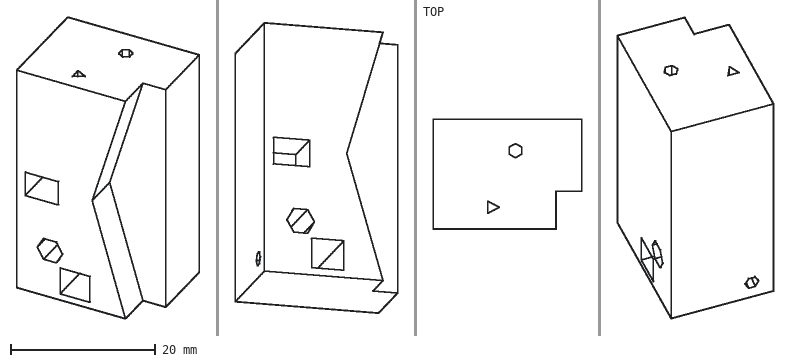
import cadquery as cq
import math

WIDTH, DEPTH, HEIGHT = 20.65, 15.27, 36.02

RELIEF_DEPTH = 5.22
RELIEF_END_X = 17.07
RELIEF_APEX_X = 11.85

POCKET_X, POCKET_Z = 1.35, 15.67
POCKET_WIDTH, POCKET_HEIGHT = 5.2, 3.85
POCKET_DEPTH = 7.2
WINDOW_X, WINDOW_Z = 6.8, 1.05
WINDOW_WIDTH, WINDOW_HEIGHT = 4.65, 4.3
FRONT_HEX_X, FRONT_HEX_Z = 5.22, 7.7
FRONT_HEX_DIAMETER = 3.95

TOP_HEX_X, TOP_HEX_Y = 11.42, 10.88
TOP_HEX_DIAMETER = 1.98
TOP_HEX_DEPTH = 7.2
TRIANGLE_X, TRIANGLE_Y = 7.6, 3.03
TRIANGLE_LENGTH, TRIANGLE_BASE = 1.6, 1.65
TRIANGLE_DEPTH = 7.2

SIDE_HEX_Y, SIDE_HEX_Z = 3.25, 2.75
SIDE_HEX_DIAMETER = 1.98
SIDE_HEX_DEPTH = 7.2
SIDE_HEX_TILT = 16.0


def front_plane():
    """Plane on the front face, where negative extrusions run inward."""
    return cq.Workplane("XZ")


def front_box(x, z, width, height, depth):
    """Rectangular cutter entering from the front face."""
    return cq.Workplane("XY").box(width, depth, height, centered=False).translate((x, 0, z))


def relief():
    """V-shaped cutter, open to the right side."""
    return (
        front_plane()
        .moveTo(RELIEF_END_X, 0)
        .lineTo(RELIEF_APEX_X, HEIGHT / 2)
        .lineTo(RELIEF_END_X, HEIGHT)
        .lineTo(WIDTH, HEIGHT)
        .lineTo(WIDTH, 0)
        .close()
        .extrude(-RELIEF_DEPTH)
    )


def front_hexagon():
    """Hexagonal cutter through the full depth, with corners pointing along X."""
    return (
        front_plane()
        .center(FRONT_HEX_X, FRONT_HEX_Z)
        .polygon(6, FRONT_HEX_DIAMETER)
        .extrude(-DEPTH)
    )


def top_hexagon():
    """Hexagonal cutter from the top face, with corners pointing along Y."""
    plane = cq.Plane(origin=(TOP_HEX_X, TOP_HEX_Y, HEIGHT), xDir=(0, 1, 0), normal=(0, 0, 1))
    return cq.Workplane(plane).polygon(6, TOP_HEX_DIAMETER).extrude(-TOP_HEX_DEPTH)


def top_triangle():
    """Triangular cutter from the top face, pointing along +X."""
    return (
        cq.Workplane("XY", origin=(TRIANGLE_X, TRIANGLE_Y, HEIGHT))
        .moveTo(0, -TRIANGLE_BASE / 2)
        .lineTo(TRIANGLE_LENGTH, 0)
        .lineTo(0, TRIANGLE_BASE / 2)
        .close()
        .extrude(-TRIANGLE_DEPTH)
    )


def side_hexagon():
    """Hexagonal cutter from the left face, with corners pointing along Y and its axis tilted up."""
    tilt = math.radians(SIDE_HEX_TILT)
    axis = cq.Vector(math.cos(tilt), 0, math.sin(tilt))
    plane = cq.Plane(origin=(0, SIDE_HEX_Y, SIDE_HEX_Z), xDir=(0, 1, 0), normal=axis)
    return (
        cq.Workplane(plane)
        .workplane(offset=-SIDE_HEX_DIAMETER)
        .polygon(6, SIDE_HEX_DIAMETER)
        .extrude(SIDE_HEX_DIAMETER + SIDE_HEX_DEPTH)
    )


result = cq.Workplane("XY").box(WIDTH, DEPTH, HEIGHT, centered=False)
cutters = [
    relief(),
    front_box(POCKET_X, POCKET_Z, POCKET_WIDTH, POCKET_HEIGHT, POCKET_DEPTH),
    front_box(WINDOW_X, WINDOW_Z, WINDOW_WIDTH, WINDOW_HEIGHT, DEPTH),
    front_hexagon(),
    top_hexagon(),
    top_triangle(),
    side_hexagon(),
]
for cutter in cutters:
    result = result.cut(cutter)